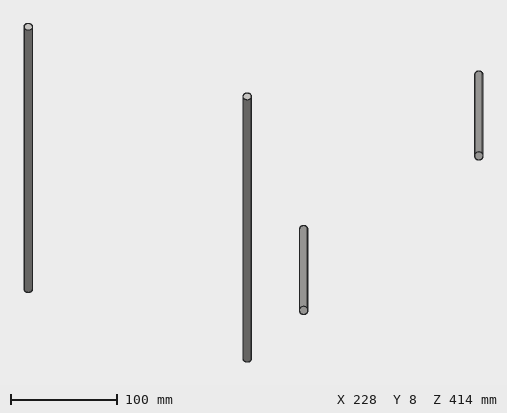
import cadquery as cq

ROD_DIAMETER = 8.0
ROD_LENGTH = 414.0
OVERALL_WIDTH = 228.0

ROD_SPACING = OVERALL_WIDTH - ROD_DIAMETER


def make_rod(x_position):
    """Plain round rod standing on the XY plane at the given X position."""
    return (
        cq.Workplane("XY")
        .center(x_position, 0)
        .circle(ROD_DIAMETER / 2)
        .extrude(ROD_LENGTH)
    )


rods = [make_rod(side * ROD_SPACING / 2) for side in (-1, 1)]

result = cq.Compound.makeCompound([rod.val() for rod in rods])